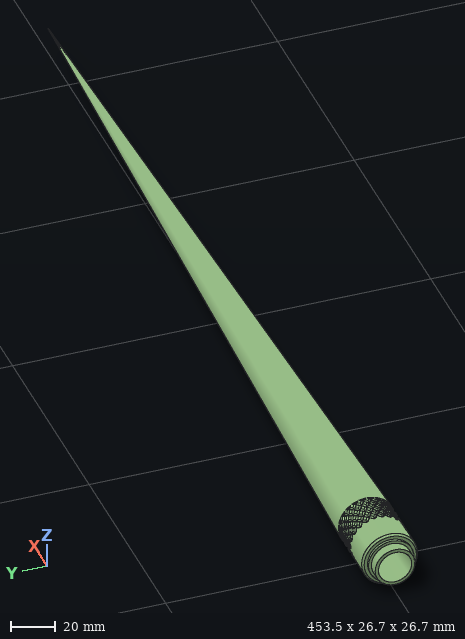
import cadquery as cq

total_length = 453.5
sleeve_radius = 26.7 / 2
tip_radius = 0.1

spigot_radius = 19.0 / 2
spigot_end = 5.0
shoulder_radius = 11.0
shoulder_end = 6.5
bevel_width = 1.0
bevel_end = shoulder_end + bevel_width
taper_start = 41.0

bore_radius = 16.0 / 2
bore_end = 448.8

knurl_start = 21.8
knurl_end = 37.5
knurl_length = knurl_end - knurl_start
groove_count = 22
groove_depth = 0.7
groove_half_width = 1.0
diamond_length = 5.0
groove_spacing_angle = 360 / groove_count
knurl_twist = groove_spacing_angle * knurl_length / diamond_length


def turned_solid(profile):
    """Revolve an (X, radius) outline about the X axis."""
    return cq.Workplane("XY").polyline(profile).close().revolve(360, (0, 0, 0), (1, 0, 0))


def outer_body():
    return turned_solid(
        [
            (0, 0),
            (0, spigot_radius),
            (spigot_end, spigot_radius),
            (spigot_end, shoulder_radius),
            (shoulder_end, shoulder_radius),
            (shoulder_end, sleeve_radius - bevel_width),
            (bevel_end, sleeve_radius),
            (taper_start, sleeve_radius),
            (total_length, tip_radius),
            (total_length, 0),
        ]
    )


def bore():
    return turned_solid([(0, 0), (0, bore_radius), (bore_end, 0)])


def helical_grooves(twist):
    """One hand of the knurl: V cutters twisted about X, as deep as they stand proud."""
    root = sleeve_radius - groove_depth
    crest = sleeve_radius + groove_depth
    crest_half_width = 2 * groove_half_width
    cutter = (
        cq.Workplane("YZ", origin=(knurl_start, 0, 0))
        .polyline([(root, 0), (crest, crest_half_width), (crest, -crest_half_width)])
        .close()
        .twistExtrude(knurl_length, twist)
    )
    copies = [
        cutter.rotate((0, 0, 0), (1, 0, 0), index * groove_spacing_angle).val()
        for index in range(groove_count)
    ]
    return cq.Workplane(cq.Compound.makeCompound(copies))


result = outer_body().cut(bore())
for hand in (1, -1):
    result = result.cut(helical_grooves(hand * knurl_twist))